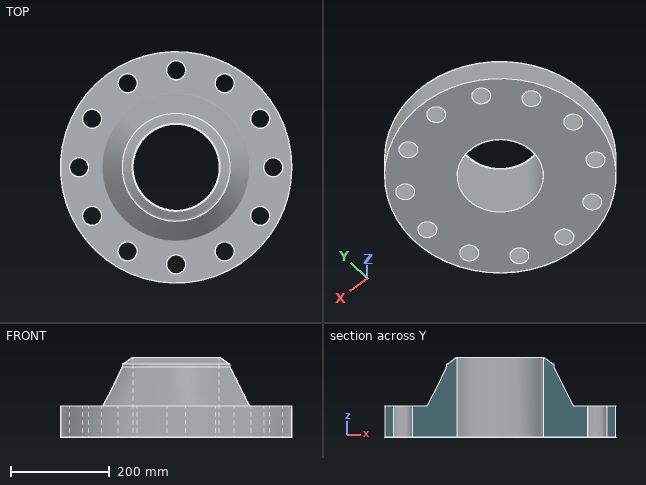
import cadquery as cq

flange_radius = 235.0
flange_thickness = 64.0

bolt_count = 12
bolt_circle_radius = 197.0
bolt_hole_diameter = 38.0

total_height = 162.0
neck_base_radius = 149.0
neck_base_fillet = 3.0

band_radius = 109.5
band_bottom_z = 143.0
band_top_z = 149.0
bevel_bottom_radius = 106.5
bevel_bottom_z = 149.5
bevel_top_radius = 89.3
bevel_root_fillet = 2.5
bore_radius = 87.5


def make_flange():
    return cq.Workplane("XY").circle(flange_radius).extrude(flange_thickness)


def make_neck():
    """Revolve the half profile of the neck around Z."""
    profile = (
        cq.Workplane("XZ")
        .moveTo(0, flange_thickness)
        .lineTo(neck_base_radius, flange_thickness)
        .lineTo(band_radius, band_bottom_z)
        .lineTo(band_radius, band_top_z)
        .lineTo(bevel_bottom_radius, bevel_bottom_z)
        .lineTo(bevel_top_radius, total_height)
        .lineTo(0, total_height)
        .close()
    )
    return profile.revolve(360, (0, 0, 0), (0, 1, 0))


def fillet_circle(body, radius, height, fillet_radius):
    """Round the circular edge of the given radius and height, centred on Z."""
    edge_margin = 0.25
    reach = radius + edge_margin
    edge_box = cq.selectors.BoxSelector(
        (-reach, -reach, height - edge_margin),
        (reach, reach, height + edge_margin),
        boundingbox=True,
    )
    return body.edges(edge_box).fillet(fillet_radius)


def make_bore():
    return cq.Workplane("XY").circle(bore_radius).extrude(total_height)


def make_bolt_holes():
    return (
        cq.Workplane("XY")
        .polarArray(bolt_circle_radius, 0, 360, bolt_count)
        .circle(bolt_hole_diameter / 2)
        .extrude(flange_thickness)
    )


body = make_flange().union(make_neck())
body = fillet_circle(body, neck_base_radius, flange_thickness, neck_base_fillet)
body = fillet_circle(body, bevel_bottom_radius, bevel_bottom_z, bevel_root_fillet)
result = body.cut(make_bore()).cut(make_bolt_holes())